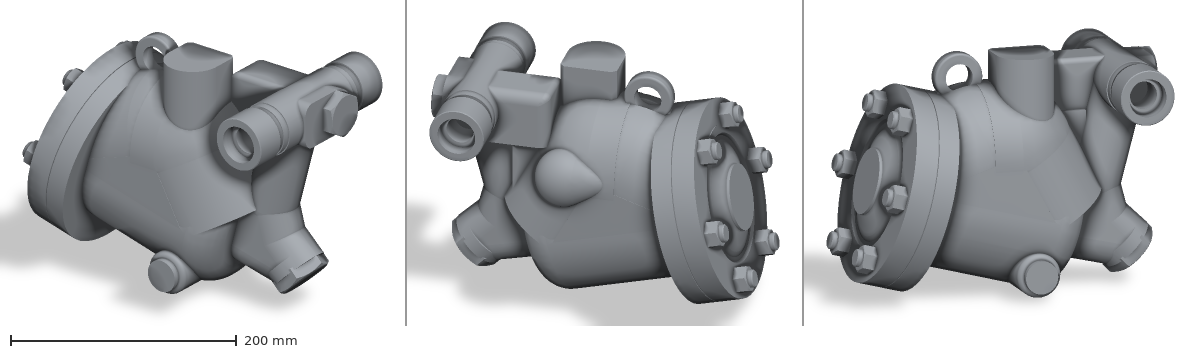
import cadquery as cq
import math

TILT = math.radians(15)
AXIS = (math.cos(TILT), 0, -math.sin(TILT))
RISE = (math.sin(TILT), 0, math.cos(TILT))
AXIS_PLANE = cq.Plane((0, 0, 0), xDir=AXIS, normal=(0, -1, 0))

BEVEL_MARGIN = 0.4
ROOT_DEPTH = 3

FLANGE_D = 180
COVER_T = 21
BODY_FLANGE_T = 20
GASKET_T = 1
GASKET_D = FLANGE_D - 2
COVER_BOSS_D = 60
COVER_BOSS_T = 3
CONE_TOP = -28.5
CONE_BASE_D = 96
CONE_BASE = -COVER_T
RECESS_FLOOR_D = (105, 113)
RECESS_FLOOR = -18.5
RECESS_RIM_D = 117

BOLT_CIRCLE_D = 147
BOLT_COUNT = 6
STUD_D = 16
STUD_LENGTH = 16.55
STUD_CHAMFER = 1
NUT_AF = 22
NUT_T = 12
STUD_BOSS_D = 22
STUD_BOSS_END = 33
STUD_BOSS_ROUND = 6

BODY_R = 63.2
BODY_END = 161
BODY_END_ROUND = 26.3
DOME_X = 96
DOME_Z = 28
CROWN_X = 70
SHOULDER_R = BODY_R - 0.6
WALL_HALF_WIDTH = BODY_R - 0.3
NECK_A = 12
NECK_R = 14

BULGE_CENTRE = (118, 52, 34)
BULGE_R = 26.5
BULGE_HALF_ANGLE = math.radians(26.5)

EYE_X = 54
EYE_Z = 97.3
EYE_R = 22
EYE_HOLE_D = 25
EYE_T = 13.5
EYE_ROUND = 2
EYE_FOOT = 35

PORT_X = 109.5
PORT_R = 26
PORT_ARC_Y = -23.5
PORT_BACK_Y = 5.5
PORT_TOP = 119.3
PORT_BOTTOM = 40
PORT_CORNER = 4

DRAIN_X = 110.7
DRAIN_Z = -74.6
DRAIN_D = 40
DRAIN_PLUG_D = 30
DRAIN_FACE_Y = -64.7
DRAIN_PLUG_Y = -70.7
DRAIN_ROUND = 4.5

PIPE_X = 205.5
PIPE_Z = 84.6
PIPE_MID_Y = 7
PIPE_HALF_LENGTH = 89
PIPE_D = 50
GROOVE_D = 46
SHOULDER_D = 48
GROOVE_OUTER = 60.5
GROOVE_INNER = 54
SHOULDER_INNER = 47
PIPE_EDGE = 0.75
SOCKET_D = 34.5
SOCKET_DEPTH = 13
BORE_D = 25
BORE_DEPTH = 40

BOX_X = (135.5, PIPE_X)
BOX_Y = (-0.5, 44)
BOX_Z = (55, 106)
BOX_BACK_ROUND = 10
BOX_FRONT_ROUND = 5
LINK_Y = (-6, 30)
LINK_X = (140, 172)

CHAMBER_R = 23.5
LEG_R = 24
LEG_FOOT = (180.8, -7.9)
ELBOW = (189.3, -40.2)
PLUG_SEAT = (213.6, -63.3)
SUMP_A = 130
SUMP_R = -8.4
CHAMBER_ROUND = CHAMBER_R - 0.3
BRIDGE = (140, 4)

STRAINER_FACE = (217.8, -73)
STRAINER_AF = 47
STRAINER_HEX_T = 10
STRAINER_NECK_T = 12
STRAINER_NECK_D = 52
SIDE_FACE_X = 242.87
SIDE_HEX_T = 9.5
SIDE_AF = 38
SIDE_Y = 25
PAD_R = 21.7
PAD_FACE_X = 232.6
PAD_END_Y = -19.6
PAD_CORNER = 10
PAD_GAP_D = 36


def along(a, r, y=0):
    """Point at axial distance a and height r from the body axis."""
    return (a * AXIS[0] + r * RISE[0], y, a * AXIS[2] + r * RISE[2])


def cylinder(start, end, radius):
    direction = cq.Vector(*end) - cq.Vector(*start)
    return cq.Workplane(cq.Solid.makeCylinder(radius, direction.Length, cq.Vector(*start), direction))


def box_between(x, y, z):
    size = (x[1] - x[0], y[1] - y[0], z[1] - z[0])
    return cq.Workplane("XY").box(*size, centered=False).translate((x[0], y[0], z[0]))


def hexagon(plane, across_flats, height):
    """Hexagon rising from the plane and rooted below it, corners bevelled on the outer face."""
    corner_d = across_flats / math.cos(math.pi / 6)
    disc_r = corner_d / 2 + BEVEL_MARGIN
    bevel_width = disc_r - across_flats / 2 + BEVEL_MARGIN
    bevel_height = bevel_width * math.tan(math.pi / 6)
    end_face = cq.selectors.DirectionMinMaxSelector(plane.zDir)
    root = cq.Workplane(plane).workplane(offset=-ROOT_DEPTH)
    disc = root.circle(disc_r).extrude(height + ROOT_DEPTH)
    disc = disc.faces(end_face).chamfer(bevel_height, bevel_width)
    return root.polygon(6, corner_d).extrude(height + ROOT_DEPTH).intersect(disc)


def make_flanges():
    outer_r = FLANGE_D / 2
    gasket_r = GASKET_D / 2
    profile = [
        (CONE_TOP - COVER_BOSS_T, 0),
        (CONE_TOP - COVER_BOSS_T, COVER_BOSS_D / 2),
        (CONE_TOP, COVER_BOSS_D / 2),
        (CONE_BASE, CONE_BASE_D / 2),
        (RECESS_FLOOR, RECESS_FLOOR_D[0] / 2),
        (RECESS_FLOOR, RECESS_FLOOR_D[1] / 2),
        (-COVER_T, RECESS_RIM_D / 2),
        (-COVER_T, outer_r),
        (0, outer_r),
        (0, gasket_r),
        (GASKET_T, gasket_r),
        (GASKET_T, outer_r),
        (BODY_FLANGE_T, outer_r),
        (BODY_FLANGE_T, 0),
    ]
    return cq.Workplane(AXIS_PLANE).polyline(profile).close().revolve(360, (0, 0, 0), (1, 0, 0))


def make_studs():
    """Studs with nuts, evenly spaced on the cover."""
    outward = tuple(-c for c in AXIS)
    studs = []
    for i in range(BOLT_COUNT):
        angle = math.pi * (2 * i + 1) / BOLT_COUNT
        r = BOLT_CIRCLE_D / 2 * math.cos(angle)
        y = BOLT_CIRCLE_D / 2 * math.sin(angle)
        seat = cq.Plane(along(-COVER_T, r, y), xDir=RISE, normal=outward)
        stud = cq.Workplane(seat).circle(STUD_D / 2).extrude(STUD_LENGTH)
        stud = stud.faces(cq.selectors.DirectionMinMaxSelector(seat.zDir)).chamfer(STUD_CHAMFER)
        studs.append(stud.union(hexagon(seat, NUT_AF, NUT_T)))
    return studs


def make_stud_bosses():
    """Rounded bosses behind the body flange for the two upper studs."""
    bosses = []
    r = BOLT_CIRCLE_D / 2 * math.cos(math.pi / BOLT_COUNT)
    for side in (-1, 1):
        y = side * BOLT_CIRCLE_D / 2 * math.sin(math.pi / BOLT_COUNT)
        boss = cylinder(along(BODY_FLANGE_T / 2, r, y), along(STUD_BOSS_END, r, y), STUD_BOSS_D / 2)
        end = cq.selectors.DirectionMinMaxSelector(cq.Vector(*AXIS))
        bosses.append(boss.faces(end).fillet(STUD_BOSS_ROUND))
    return bosses


def rounded_rod(start, end, radius):
    """Cylinder from start to end, closed beyond the end by a hemisphere, as one revolved solid."""
    direction = cq.Vector(*end) - cq.Vector(*start)
    plane = cq.Plane(start, xDir=direction, normal=(0, -1, 0))
    length = direction.Length
    tip = radius * math.sqrt(0.5)
    return (
        cq.Workplane(plane)
        .lineTo(0, radius)
        .lineTo(length, radius)
        .threePointArc((length + tip, tip), (length + radius, 0))
        .close()
        .revolve(360, (0, 0, 0), (1, 0, 0))
    )


def make_body():
    """Tilted barrel, a domed upper chamber and the flat-sided wall that joins them."""
    barrel_start = along(GASKET_T, 0)
    barrel = cylinder(barrel_start, along(BODY_END, 0), BODY_R)
    barrel = barrel.faces(cq.selectors.DirectionMinMaxSelector(cq.Vector(*AXIS))).fillet(BODY_END_ROUND)
    neck = along(NECK_A, NECK_R)
    dome = (DOME_X, 0, DOME_Z)
    crown = (CROWN_X, 0, DOME_Z)
    upper = rounded_rod(crown, dome, BODY_R).union(rounded_rod(neck, crown, SHOULDER_R))
    barrel_corner = along(BODY_END - BODY_END_ROUND, 0)
    corners = [barrel_start, neck, crown, dome, barrel_corner]
    outline = [(p[0], p[2]) for p in corners]
    wall = cq.Workplane("XZ").polyline(outline).close().extrude(WALL_HALF_WIDTH, both=True)
    shoulder = cylinder(dome, barrel_corner, SHOULDER_R)
    return barrel.union(upper).union(wall).union(shoulder)


def make_bulge():
    """Ball with a tangent cone that runs out along -X into the body side."""
    sine = math.sin(BULGE_HALF_ANGLE)
    base_r = BULGE_R * math.cos(BULGE_HALF_ANGLE)
    base_x = -BULGE_R * sine
    apex_x = -BULGE_R / sine
    bulge = (
        cq.Workplane("XZ")
        .moveTo(apex_x, 0)
        .lineTo(base_x, base_r)
        .threePointArc((0, BULGE_R), (BULGE_R, 0))
        .close()
        .revolve(360, (0, 0, 0), (1, 0, 0))
    )
    return bulge.translate(BULGE_CENTRE)


def make_eye():
    """Ring with rounded rims on a plain foot, and the hole that is cut last."""
    half = EYE_T / 2
    tangent = EYE_R - EYE_ROUND
    profile = (
        cq.Workplane("XY")
        .moveTo(0, -half)
        .lineTo(tangent, -half)
        .radiusArc((EYE_R, EYE_ROUND - half), -EYE_ROUND)
        .lineTo(EYE_R, half - EYE_ROUND)
        .radiusArc((tangent, half), -EYE_ROUND)
        .lineTo(0, half)
        .close()
    )
    ring = profile.revolve(360, (0, 0, 0), (0, 1, 0)).translate((EYE_X, 0, EYE_Z))
    foot_x = (EYE_X - EYE_R + EYE_ROUND, EYE_X + EYE_R - EYE_ROUND)
    foot_half = half - EYE_ROUND
    foot = box_between(foot_x, (-foot_half, foot_half), (EYE_Z - EYE_FOOT, EYE_Z - EYE_HOLE_D / 2))
    hole = cylinder((EYE_X, -half, EYE_Z), (EYE_X, half, EYE_Z), EYE_HOLE_D / 2)
    return ring.union(foot), hole


def make_port():
    left = PORT_X - PORT_R
    right = PORT_X + PORT_R
    block = (
        cq.Workplane("XY")
        .workplane(offset=PORT_BOTTOM)
        .moveTo(left, PORT_ARC_Y)
        .threePointArc((PORT_X, PORT_ARC_Y - PORT_R), (right, PORT_ARC_Y))
        .lineTo(right, PORT_BACK_Y)
        .lineTo(left, PORT_BACK_Y)
        .close()
        .extrude(PORT_TOP - PORT_BOTTOM)
    )
    return block.edges("|Z and >Y").chamfer(PORT_CORNER)


def make_drain():
    boss = cylinder((DRAIN_X, 0, DRAIN_Z), (DRAIN_X, DRAIN_FACE_Y, DRAIN_Z), DRAIN_D / 2)
    boss = boss.faces("<Y").fillet(DRAIN_ROUND)
    return boss.union(cylinder((DRAIN_X, 0, DRAIN_Z), (DRAIN_X, DRAIN_PLUG_Y, DRAIN_Z), DRAIN_PLUG_D / 2))


def make_pipe():
    """Socket-ended cross pipe, built as one half and mirrored about its middle."""
    end = PIPE_HALF_LENGTH
    profile = [
        (0, 0),
        (PIPE_D / 2, 0),
        (PIPE_D / 2, SHOULDER_INNER),
        (SHOULDER_D / 2, SHOULDER_INNER),
        (SHOULDER_D / 2, GROOVE_INNER),
        (GROOVE_D / 2, GROOVE_INNER),
        (GROOVE_D / 2, GROOVE_OUTER),
        (PIPE_D / 2, GROOVE_OUTER),
        (PIPE_D / 2, end - PIPE_EDGE),
        (PIPE_D / 2 - PIPE_EDGE, end),
        (0, end),
    ]
    half = cq.Workplane("XY").polyline(profile).close().revolve(360, (0, 0, 0), (0, 1, 0))
    pipe = half.union(half.mirror("XZ"))
    return pipe.translate((PIPE_X, PIPE_MID_Y, PIPE_Z))


def make_sockets():
    sockets = []
    for side in (-1, 1):
        end_y = PIPE_MID_Y + side * PIPE_HALF_LENGTH
        mouth = (PIPE_X, end_y, PIPE_Z)
        socket = cylinder(mouth, (PIPE_X, end_y - side * SOCKET_DEPTH, PIPE_Z), SOCKET_D / 2)
        bore = cylinder(mouth, (PIPE_X, end_y - side * BORE_DEPTH, PIPE_Z), BORE_D / 2)
        sockets.append(socket.union(bore))
    return sockets


def make_box():
    box = box_between(BOX_X, BOX_Y, BOX_Z)
    box = box.edges("(|X and >Y and >Z) or (|Z and <X and >Y)").fillet(BOX_BACK_ROUND)
    box = box.edges("(<X and >Z) or (|X and <Y and >Z)").fillet(BOX_FRONT_ROUND)
    link = box_between(LINK_X, LINK_Y, (BRIDGE[1], BOX_Z[0] + BOX_FRONT_ROUND))
    return box.union(link)


def plug_plane():
    """Seat of the strainer plug, facing 45 degrees down towards +X."""
    normal = cq.Vector(1, 0, -1).normalized()
    face = cq.Vector(STRAINER_FACE[0], 0, STRAINER_FACE[1])
    return cq.Plane(face - normal * STRAINER_HEX_T, xDir=(1, 0, 1), normal=normal)


def make_chamber():
    """Round-edged strainer chamber that ends at the plug seat, with the leg up to the pipe."""
    sump = along(SUMP_A, SUMP_R)
    core = [LEG_FOOT, ELBOW, PLUG_SEAT, (sump[0], sump[2]), BRIDGE]
    slab = cq.Workplane("XZ").polyline(core).close().offset2D(CHAMBER_R).extrude(CHAMBER_R, both=True)
    slab = slab.edges("#Y").fillet(CHAMBER_ROUND)
    leg = rounded_rod((PIPE_X, 0, PIPE_Z), (LEG_FOOT[0], 0, LEG_FOOT[1]), LEG_R)
    beyond_plug = cq.Workplane(plug_plane()).circle(2 * CHAMBER_R).extrude(2 * CHAMBER_R)
    return slab.cut(beyond_plug).union(leg)


def make_strainer_plug():
    plane = plug_plane()
    neck = cq.Workplane(plane).circle(STRAINER_NECK_D / 2).extrude(-STRAINER_NECK_T)
    return hexagon(plane, STRAINER_AF, STRAINER_HEX_T).union(neck)


def make_side_plug():
    plane = cq.Plane((SIDE_FACE_X - SIDE_HEX_T, SIDE_Y, PIPE_Z), xDir=(0, 0, 1), normal=(1, 0, 0))
    plug = hexagon(plane, SIDE_AF, SIDE_HEX_T)
    gap = cylinder((PIPE_X, SIDE_Y, PIPE_Z), (SIDE_FACE_X - SIDE_HEX_T, SIDE_Y, PIPE_Z), PAD_GAP_D / 2)
    pad = box_between((PIPE_X, PAD_FACE_X), (PAD_END_Y, SIDE_Y), (PIPE_Z - PAD_R, PIPE_Z + PAD_R))
    pad = pad.edges("|X and <Y").fillet(PAD_CORNER)
    pad = pad.union(cylinder((PIPE_X, SIDE_Y, PIPE_Z), (PAD_FACE_X, SIDE_Y, PIPE_Z), PAD_R))
    return plug.union(gap).union(pad)


result = make_flanges()
for stud in make_studs():
    result = result.union(stud)
eye, eye_hole = make_eye()
for feature in (
    *make_stud_bosses(), make_body(), make_chamber(), make_bulge(), make_port(), make_drain(),
    make_box(), make_pipe(), make_strainer_plug(), make_side_plug(), eye,
):
    result = result.union(feature)
for hole in (eye_hole, *make_sockets()):
    result = result.cut(hole)